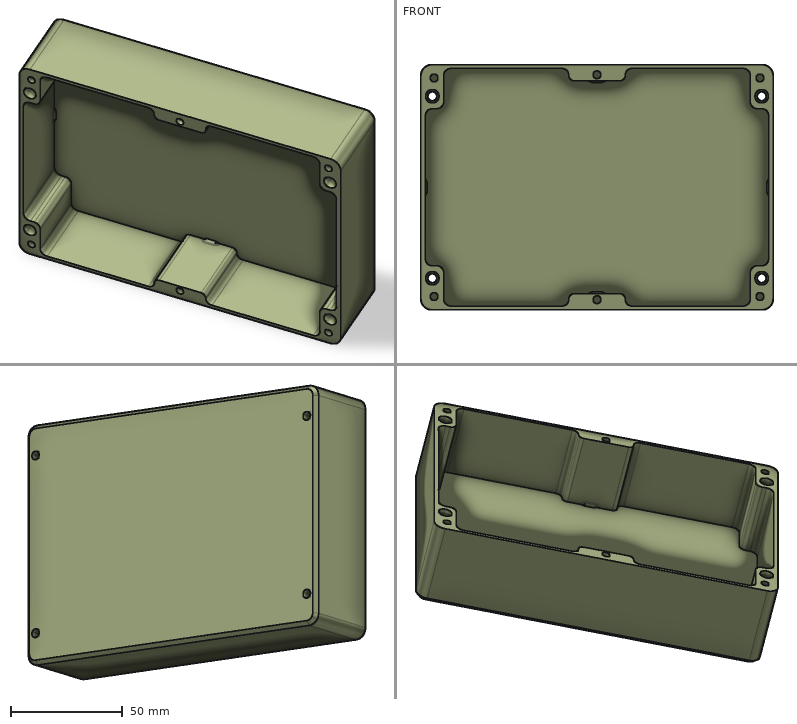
import cadquery as cq
import math

LENGTH = 158.0
DEPTH = 39.0
HEIGHT = 110.0
OUTER_RADIUS = 5.0
BACK_CHAMFER = 1.9
SIDE_WALL = 2.0
LONG_WALL = 1.7
BACK_WALL = 1.9

PANEL_THICKNESS = 3.3

POST_INNER_X = 68.7
POST_INNER_Z = 35.2
PAD_HALF_WIDTH = 12.6
PAD_INNER_Z = 47.7
POST_CONCAVE_RADIUS = 3.3
POST_CONVEX_RADIUS = 3.0
PAD_CONCAVE_RADIUS = 3.0
PAD_CONVEX_RADIUS = 2.4

TAPPED_DIAMETER = 3.5
TAPPED_DEPTH = 12.6
PAD_HOLE_Z = 50.4
CORNER_HOLE_X = 73.0
CORNER_HOLE_Z = 49.0
SCREW_X = 73.8
SCREW_Z = 40.8
SCREW_DIAMETER = 4.0
SCREW_HEAD_DIAMETER = 6.0

CATCH_CREST = 4.5
CATCH_HEIGHT = 0.8
CATCH_SLOPE = math.radians(24.5)
CATCH_BLEND = 0.3

CAVITY_X = LENGTH / 2 - SIDE_WALL
CAVITY_Z = HEIGHT / 2 - LONG_WALL
FRONT_Y = -DEPTH / 2
BACK_Y = DEPTH / 2
CAVITY_BACK_Y = BACK_Y - BACK_WALL
PANEL_FRONT_Y = CAVITY_BACK_Y - PANEL_THICKNESS
SCREW_HEAD_DEPTH = PANEL_FRONT_Y - FRONT_Y
SIGNS = (-1, 1)
TOLERANCE = 0.02


def plane_at(y):
    """Workplane facing -Y at depth y, with its axes along X and Z."""
    return cq.Workplane("XZ", origin=(0, y, 0))


def block(x_half, z_half, y_start, y_end):
    """Centred rectangular block between two depths."""
    return plane_at(y_end).rect(2 * x_half, 2 * z_half).extrude(y_end - y_start)


def notches(points, x_half, z_half, radius, y_start, y_end):
    """Blocks with rounded edges, centred on points of the cavity outline."""
    blocks = plane_at(y_end).pushPoints(points).rect(2 * x_half, 2 * z_half).extrude(y_end - y_start)
    return blocks.edges("|Y").fillet(radius)


def beside_post(edge):
    """True for an edge where a corner post meets a wall."""
    centre = edge.Center()
    on_side_wall = abs(centre.x) > CAVITY_X - TOLERANCE
    on_long_wall = abs(centre.z) > CAVITY_Z - TOLERANCE
    return on_side_wall or (on_long_wall and abs(centre.x) > PAD_HALF_WIDTH + TOLERANCE)


def beside_pad(edge):
    """True for an edge where a pad meets a long wall."""
    centre = edge.Center()
    return abs(centre.z) > CAVITY_Z - TOLERANCE and abs(centre.x) < PAD_HALF_WIDTH + TOLERANCE


def four_corners(x, z):
    """The four points mirrored about the centre lines."""
    return [(side_x * x, side_z * z) for side_x in SIGNS for side_z in SIGNS]


def top_and_bottom(z):
    """The two points on the vertical centre line, above and below the centre."""
    return [(0, side_z * z) for side_z in SIGNS]


def cavity_fill(y_start, y_end):
    """Everything inside the walls, posts and pads between two depths, as a solid."""
    post_points = four_corners(CAVITY_X, CAVITY_Z)
    post_x = CAVITY_X - POST_INNER_X
    post_z = CAVITY_Z - POST_INNER_Z
    posts = notches(post_points, post_x, post_z, POST_CONVEX_RADIUS, y_start, y_end)
    pad_points = top_and_bottom(CAVITY_Z)
    pad_z = CAVITY_Z - PAD_INNER_Z
    pads = notches(pad_points, PAD_HALF_WIDTH, pad_z, PAD_CONVEX_RADIUS, y_start, y_end)
    fill = block(CAVITY_X, CAVITY_Z, y_start, y_end).cut(posts).cut(pads)
    fill = fill.edges("|Y").filter(beside_post).fillet(POST_CONCAVE_RADIUS)
    return fill.edges("|Y").filter(beside_pad).fillet(PAD_CONCAVE_RADIUS)


def rim_holes(points, diameter, depth):
    """Cylinders that start at the rim and run towards +Y."""
    return plane_at(FRONT_Y).pushPoints(points).circle(diameter / 2).extrude(-depth)


def catch_profile(workplane):
    """Half section of a catch: a ramp from the crest down to a hollow blend into the wall."""
    ramp_foot = CATCH_HEIGHT / math.tan(CATCH_SLOPE)
    blend_start_y = ramp_foot - CATCH_BLEND * math.cos(CATCH_SLOPE)
    blend_start_z = CATCH_BLEND * math.sin(CATCH_SLOPE)
    return (
        workplane.moveTo(0, 0)
        .lineTo(0, CATCH_HEIGHT)
        .lineTo(-blend_start_y, blend_start_z)
        .tangentArcPoint((-ramp_foot - CATCH_BLEND, 0), relative=False)
        .close()
    )


def make_catch():
    """One catch on the XY plane, its crest along X and its ramp falling towards -Y."""
    half_crest = CATCH_CREST / 2
    catch = catch_profile(cq.Workplane("YZ", origin=(-half_crest, 0, 0))).extrude(CATCH_CREST)
    for side in SIGNS:
        end = catch_profile(cq.Workplane("YZ", origin=(side * half_crest, 0, 0)))
        catch = catch.union(end.revolve(90, (0, 0, 0), (0, side, 0)))
    return catch


def make_catches():
    """Catches on both pads and both side walls, against the front face of the panel."""
    catch = make_catch()
    catches = []
    for turn, reach in ((0, PAD_INNER_Z), (90, CAVITY_X), (180, PAD_INNER_Z), (270, CAVITY_X)):
        placed = catch.translate((0, PANEL_FRONT_Y, -reach))
        catches.append(placed.rotate((0, 0, 0), (0, 1, 0), turn))
    return catches


def make_shell():
    """Rounded box with a chamfered back, hollowed out from the front."""
    shell = block(LENGTH / 2, HEIGHT / 2, FRONT_Y, BACK_Y)
    shell = shell.edges("|Y").fillet(OUTER_RADIUS)
    shell = shell.faces(">Y").chamfer(BACK_CHAMFER)
    return shell.cut(cavity_fill(FRONT_Y, CAVITY_BACK_Y))


def make_housing():
    """Shell with tapped holes, counterbored screw holes and snap catches."""
    tapped_points = top_and_bottom(PAD_HOLE_Z) + four_corners(CORNER_HOLE_X, CORNER_HOLE_Z)
    screw_points = four_corners(SCREW_X, SCREW_Z)
    housing = make_shell()
    housing = housing.cut(rim_holes(tapped_points, TAPPED_DIAMETER, TAPPED_DEPTH))
    housing = housing.cut(rim_holes(screw_points, SCREW_DIAMETER, DEPTH))
    housing = housing.cut(rim_holes(screw_points, SCREW_HEAD_DIAMETER, SCREW_HEAD_DEPTH))
    for catch in make_catches():
        housing = housing.union(catch)
    return housing


def make_panel():
    """Flat panel between the back wall and the catches."""
    return cavity_fill(PANEL_FRONT_Y, CAVITY_BACK_Y)


housing = make_housing()
panel = make_panel()

result = cq.Compound.makeCompound([housing.solids().val(), panel.solids().val()])